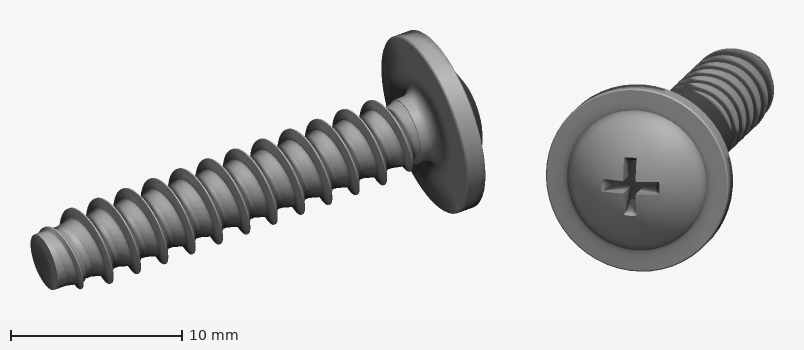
import cadquery as cq
import math


flange_radius = 5.5
flange_thickness = 1.25
flange_edge_chamfer = 0.08
dome_base_radius = 4.2
dome_height = 1.915

recess_wing_width = 0.75
recess_top_radius = 1.85
recess_bottom_radius = 1.2
recess_depth = 2.0

shank_length = 25.0
collar_radius = 2.0
collar_end = -1.2
neck_fillet = 0.68
core_radius = 1.72
neck_cone_start_radius = 1.93
neck_cone_end_radius = 1.7
neck_cone_end = -2.0
tip_dimple_depth = 0.14
tip_allowance = 15.0

pitch = 1.8
crest_radius = 2.5
crest_half_width = 0.04
knee_radius = 1.92
head_side_knee = 0.3
head_side_root = 0.55
tip_side_knee = 0.27
tip_side_root = 1.23
root_overlap = 0.05
thread_start = -1.09
thread_start_angle = math.pi
thread_turns = 13.2
run_in_turns = 1.0
run_in_start_height = 0.53
run_out_turns = 1.35
run_out_end_height = 0.04
points_per_turn = 24


def make_head():
    """Washer flange with eased edges under a spherical dome."""
    flange = (
        cq.Workplane("XZ")
        .circle(flange_radius)
        .extrude(-flange_thickness)
        .edges()
        .chamfer(flange_edge_chamfer)
    )
    sphere_radius = (dome_base_radius**2 + dome_height**2) / (2 * dome_height)
    apex = flange_thickness + dome_height
    half_angle = math.asin(dome_base_radius / sphere_radius) / 2
    middle_radius = sphere_radius * math.sin(half_angle)
    middle_height = apex - sphere_radius * (1 - math.cos(half_angle))
    dome = (
        cq.Workplane("XY")
        .moveTo(0, flange_thickness / 2)
        .lineTo(dome_base_radius, flange_thickness / 2)
        .lineTo(dome_base_radius, flange_thickness)
        .threePointArc((middle_radius, middle_height), (0, apex))
        .close()
        .revolve(360, (0, 0, 0), (0, 1, 0))
    )
    return flange.union(dome)


def make_recess():
    """Cross-shaped driver recess whose wing ends follow a cone."""
    apex = flange_thickness + dome_height
    floor = apex - recess_depth
    span = 2 * recess_top_radius
    wings = cq.Workplane("XY").box(span, recess_depth, recess_wing_width)
    wings = wings.union(cq.Workplane("XY").box(recess_wing_width, recess_depth, span))
    wings = wings.translate((0, floor + recess_depth / 2, 0))
    cone = cq.Workplane(
        cq.Solid.makeCone(
            recess_bottom_radius,
            recess_top_radius,
            recess_depth,
            cq.Vector(0, floor, 0),
            cq.Vector(0, 1, 0),
        )
    )
    return wings.intersect(cone)


def make_neck():
    """Filleted collar under the head, ending in a short cone down to the core."""
    fillet_middle = neck_fillet * (1 - math.sqrt(0.5))
    return (
        cq.Workplane("YZ")
        .moveTo(flange_thickness / 2, 0)
        .lineTo(flange_thickness / 2, -collar_radius - neck_fillet)
        .lineTo(0, -collar_radius - neck_fillet)
        .threePointArc(
            (-fillet_middle, -collar_radius - fillet_middle),
            (-neck_fillet, -collar_radius),
        )
        .lineTo(collar_end, -collar_radius)
        .lineTo(collar_end, -neck_cone_start_radius)
        .lineTo(neck_cone_end, -neck_cone_end_radius)
        .lineTo(neck_cone_end, 0)
        .close()
        .revolve(360, (0, 0, 0), (1, 0, 0))
    )


def make_core():
    """Plain cylinder that carries the thread; it runs past the tip plane and is trimmed later."""
    start = flange_thickness / 2
    return (
        cq.Workplane("XZ", origin=(0, start, 0))
        .circle(core_radius)
        .extrude(start + shank_length + tip_allowance)
    )


def thread_height(turn):
    """Fraction of the full thread height after the given number of turns."""
    run_in = run_in_start_height + (1 - run_in_start_height) * turn / run_in_turns
    turns_left = thread_turns - turn
    run_out = run_out_end_height + (1 - run_out_end_height) * turns_left / run_out_turns
    return min(1.0, run_in, run_out)


def thread_edge(offset, radius):
    """Helical edge of the thread; offset is the distance from the crest toward the head."""
    count = round(thread_turns * points_per_turn)
    points = []
    for i in range(count + 1):
        turn = thread_turns * i / count
        angle = thread_start_angle + 2 * math.pi * turn
        height = thread_height(turn) if radius > core_radius else 1.0
        r = core_radius + (radius - core_radius) * height
        y = thread_start + offset - pitch * turn
        points.append(cq.Vector(r * math.cos(angle), y, r * math.sin(angle)))
    return cq.Edge.makeSpline(points)


def make_thread():
    """Ridge with a steep crest, a wide knee and a root sloping down toward the tip."""
    buried_radius = core_radius - root_overlap
    profile = [
        (head_side_root, buried_radius),
        (head_side_knee, knee_radius),
        (crest_half_width, crest_radius),
        (-crest_half_width, crest_radius),
        (-tip_side_knee, knee_radius),
        (-tip_side_root, buried_radius),
    ]
    edges = [thread_edge(offset, radius) for offset, radius in profile]
    faces = []
    for i, edge in enumerate(edges):
        faces.append(cq.Face.makeRuledSurface(edge, edges[(i + 1) % len(edges)]))
    for end in (0, 1):
        corners = [edge.positionAt(end) for edge in edges]
        faces.append(cq.Face.makeFromWires(cq.Wire.makePolygon(corners, close=True)))
    return cq.Workplane(cq.Solid.makeSolid(cq.Shell.makeShell(faces)))


def make_tip_trim():
    """Block beyond the tip plane that trims the core and the end of the thread."""
    return (
        cq.Workplane("XZ", origin=(0, -shank_length, 0))
        .circle(flange_radius)
        .extrude(2 * tip_allowance)
    )


def make_tip_dimple():
    """Shallow cone sunk into the tip face."""
    return cq.Workplane(
        cq.Solid.makeCone(
            core_radius,
            0,
            tip_dimple_depth,
            cq.Vector(0, -shank_length, 0),
            cq.Vector(0, 1, 0),
        )
    )


shank = make_core().union(make_thread(), clean=False)
shank = shank.cut(make_tip_trim())
shank = shank.union(make_neck(), clean=False)
shank = shank.cut(make_tip_dimple())
screw = make_head().union(shank, clean=False).cut(make_recess())
result = cq.Workplane(screw.solids().val())